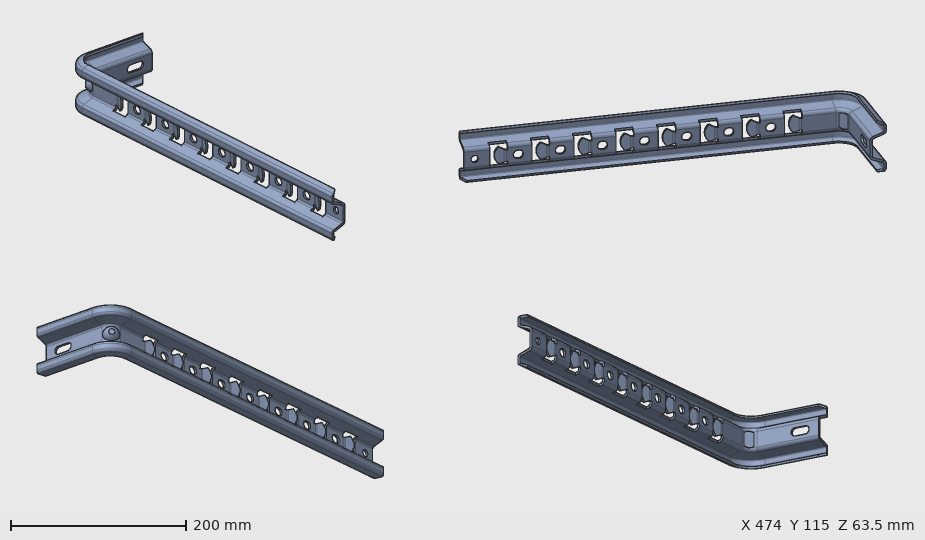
import cadquery as cq
import math

long_arm = 474.0
short_arm = 115.0
height = 63.5
depth = 19.5
bend_radius = 31.8

sheet = 3.0
wall_angle = math.radians(70)
web_half_flat = 9.5
web_radius = 2.5
flange_radius = 4.0
lip_depth = 9.0

lip_cut_length = 5.5
lip_cut_start = 3.0
lip_cut_inner = 24.5

notch_count = 8
notch_run = 350.5
pitch = notch_run / (notch_count - 1)
notch_start = 71.5
notch_width = 21.5
notch_depth = 7.0
tab_neck_half = 7.0
tab_half = 10.5
tab_flat = 3.0
tab_bend_radius = 5.5
tab_shoulder = 10.0
tab_length = 14.5
tab_drop = 4.5
oval_start = 109.0
oval_length = 12.0
hole_height = 10.0
end_hole_x = 461.0
end_hole_diameter = 8.5

slot_y = 90.0
slot_length = 24.0

boss_tip_radius = 3.55
boss_base_radius = 10.0
boss_middle_radius = 8.5
boss_tip_reach = 20.5
boss_base_reach = 11.0

web_front = depth - sheet


def rounded_outline(plane, corners):
    """Closed wire through (x, y, radius) corners; a radius of 0 leaves the corner sharp."""
    outline = None
    count = len(corners)
    for index, (x, y, radius) in enumerate(corners):
        corner = cq.Vector(x, y)
        before = (cq.Vector(*corners[index - 1][:2]) - corner).normalized()
        after = (cq.Vector(*corners[(index + 1) % count][:2]) - corner).normalized()
        half_angle = before.getAngle(after) / 2
        setback = radius / math.tan(half_angle)
        start = corner + before * setback
        end = corner + after * setback
        outline = plane.moveTo(start.x, start.y) if outline is None else outline.lineTo(start.x, start.y)
        if radius > 0:
            bisector = (before + after).normalized()
            middle = corner + bisector * (radius / math.sin(half_angle) - radius)
            outline = outline.threePointArc((middle.x, middle.y), (end.x, end.y))
    return outline.close()


def section(plane):
    """Cross-section of the rail: plane x is the depth from the flange faces, plane y is Z."""
    fold_shift = sheet * math.tan(wall_angle / 2)
    web_z = web_half_flat + web_radius * math.tan(wall_angle / 2)
    flange_z = web_z + web_front / math.tan(wall_angle)
    lip_z = height / 2 - lip_depth / math.tan(wall_angle)
    lip_end_depth = lip_depth + sheet * math.cos(wall_angle)
    lip_end_z = height / 2 - sheet * math.sin(wall_angle)
    inner_flange_radius = flange_radius - sheet
    upper_half = [
        (web_front, web_z, web_radius),
        (0, flange_z, flange_radius),
        (0, lip_z, flange_radius),
        (lip_depth, height / 2, 0),
        (lip_end_depth, lip_end_z, 0),
        (sheet, lip_z - fold_shift, inner_flange_radius),
        (sheet, flange_z + fold_shift, inner_flange_radius),
        (depth, web_z + fold_shift, web_radius + sheet),
    ]
    lower_half = [(x, -z, radius) for x, z, radius in reversed(upper_half)]
    return rounded_outline(plane, upper_half + lower_half)


def rail():
    """Two straight arms joined by a quarter-turn corner."""
    long_part = section(cq.Workplane("YZ", origin=(bend_radius, 0, 0))).extrude(long_arm - bend_radius)
    short_part = section(cq.Workplane("XZ", origin=(0, short_arm, 0))).extrude(short_arm - bend_radius)
    corner = section(cq.Workplane("XZ", origin=(0, bend_radius, 0))).revolve(
        90, (bend_radius, 0, 0), (bend_radius, 1, 0)
    )
    return corner.union(long_part).union(short_part)


def lip_cuts():
    """Wedges that take the lip corners off at the free end of each arm."""
    wedge_depth = depth - lip_cut_start
    wedge_length = lip_cut_length * wedge_depth / (lip_depth - lip_cut_start)
    wedge_height = height / 2 - lip_cut_inner
    cuts = cq.Workplane()
    for bottom in (lip_cut_inner, -height / 2):
        base = cq.Workplane("XY", origin=(0, 0, bottom))
        long_end = [
            (long_arm, lip_cut_start),
            (long_arm, depth),
            (long_arm - wedge_length, depth),
        ]
        short_end = [
            (lip_cut_start, short_arm),
            (depth, short_arm),
            (depth, short_arm - wedge_length),
        ]
        for points in (long_end, short_end):
            cuts = cuts.add(base.polyline(points).close().extrude(wedge_height))
    return cuts.combine()


def tab(start):
    """Tongue that slopes down from the web into a notch, with a round free end."""
    tip = start + tab_length
    shoulder = start + tab_shoulder
    slope_start = start + tab_flat
    side = rounded_outline(
        cq.Workplane("XY"),
        [
            (start, web_front, 0),
            (slope_start, web_front, tab_bend_radius),
            (tip, web_front - tab_drop, 0),
            (tip, depth - tab_drop, 0),
            (slope_start, depth, tab_bend_radius + sheet),
            (start, depth, 0),
        ],
    ).extrude(tab_half, both=True)
    face = (
        cq.Workplane("XZ")
        .moveTo(start, -tab_neck_half)
        .lineTo(slope_start, -tab_neck_half)
        .lineTo(shoulder, -tab_half)
        .threePointArc((tip, 0), (shoulder, tab_half))
        .lineTo(slope_start, tab_neck_half)
        .lineTo(start, tab_neck_half)
        .close()
        .extrude(-depth)
    )
    return side.intersect(face)


def perforate(body):
    """Cut the notches, holes and slot through the web and add a tab in each notch."""
    for index in range(notch_count):
        start = notch_start + index * pitch
        notch = cq.Workplane("XY").box(notch_width, notch_depth, height, centered=(False, False, True))
        body = body.cut(notch.translate((start, depth - notch_depth, 0)))
        body = body.union(tab(start))
    ovals = [(oval_start + index * pitch, 0) for index in range(notch_count - 1)]
    web_plane = cq.Workplane("XZ")
    body = body.cut(web_plane.pushPoints(ovals).slot2D(oval_length, hole_height).extrude(-depth))
    body = body.cut(web_plane.center(end_hole_x, 0).circle(end_hole_diameter / 2).extrude(-depth))
    arm_slot = cq.Workplane("YZ").center(slot_y, 0).slot2D(slot_length, hole_height).extrude(depth)
    return body.cut(arm_slot)


def boss():
    """Dome with a flat tip that points outward along the corner's diagonal."""
    middle_reach = (boss_tip_reach + boss_base_reach) / 2
    dome = (
        cq.Workplane("XZ")
        .moveTo(0, boss_base_reach)
        .lineTo(boss_base_radius, boss_base_reach)
        .threePointArc((boss_middle_radius, middle_reach), (boss_tip_radius, boss_tip_reach))
        .lineTo(0, boss_tip_reach)
        .close()
        .revolve(360, (0, 0, 0), (0, 1, 0))
    )
    return dome.rotate((0, 0, 0), (0, 1, 0), -90).rotate((0, 0, 0), (0, 0, 1), 45).translate(
        (bend_radius, bend_radius, 0)
    )


result = perforate(rail().cut(lip_cuts())).union(boss())